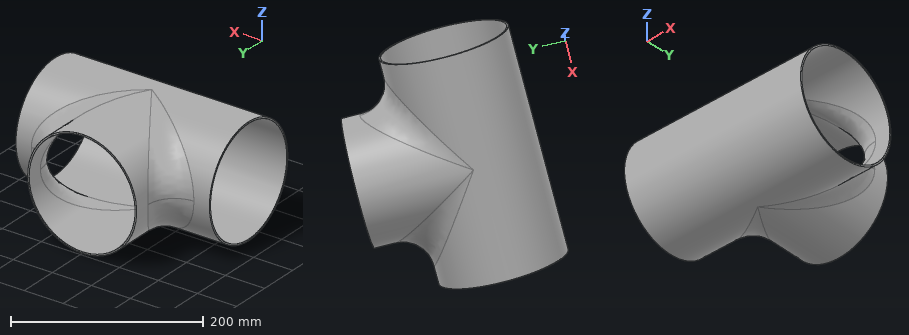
import cadquery as cq

run_length = 248.0
outer_diameter = 139.5
bore_diameter = 135.7
branch_reach = 124.0
outer_crotch_radius = 34.2

wall = (outer_diameter - bore_diameter) / 2
bore_crotch_radius = outer_crotch_radius + wall


def rounded_tee(diameter, crotch_radius):
    """Solid tee of two equal cylinders with a rounded crotch on both sides of the branch."""
    run = cq.Workplane("YZ").circle(diameter / 2).extrude(run_length / 2, both=True)
    branch = cq.Workplane("XZ").circle(diameter / 2).extrude(-branch_reach)
    tee = run.union(branch)
    return tee.edges("%ELLIPSE").fillet(crotch_radius)


outer_body = rounded_tee(outer_diameter, outer_crotch_radius)
bore = rounded_tee(bore_diameter, bore_crotch_radius)

result = outer_body.cut(bore)